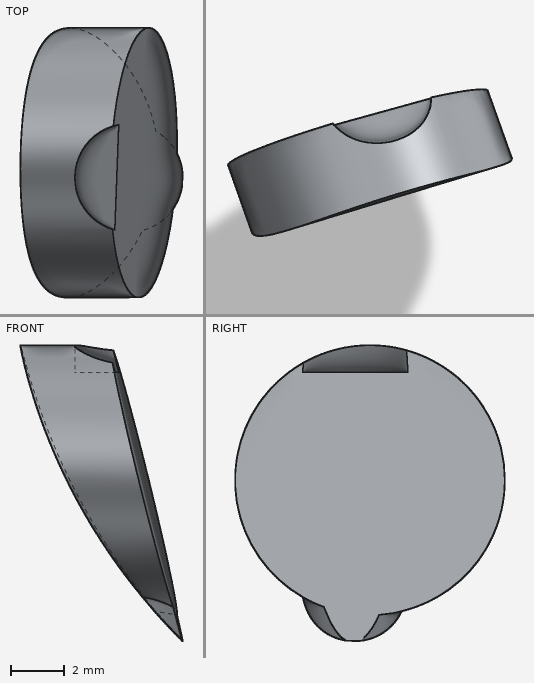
import cadquery as cq

disc_radius = 5.0
disc_center_y = 0.56

key_radius = 2.0
key_height = 1.0

convex_radius = 22.8
convex_axis_x = 18.2
convex_axis_z = 10.07
convex_yaw = 0.65

flat_x_at_origin = 0.53
flat_lean = 13.75
flat_yaw = 2.15

stock_half_length = 10.0
cutter_size = 60.0


def make_disc():
    """Round body along X, before its two faces are trimmed."""
    return (
        cq.Workplane("YZ", origin=(-stock_half_length, 0, 0))
        .center(disc_center_y, 0)
        .circle(disc_radius)
        .extrude(2 * stock_half_length)
    )


def key_cylinder(bottom_z, height):
    """Vertical cylinder on the Z axis, used for both the pin and the socket."""
    return cq.Workplane("XY", origin=(0, 0, bottom_z)).circle(key_radius).extrude(height)


def make_convex_envelope():
    """Large cylinder whose surface becomes the convex -X face."""
    return (
        cq.Workplane("XZ", origin=(convex_axis_x, cutter_size / 2, convex_axis_z))
        .circle(convex_radius)
        .extrude(cutter_size)
        .rotate((0, 0, 0), (0, 0, 1), -convex_yaw)
    )


def make_flat_envelope():
    """Block lying on the -X side of the leaning flat face."""
    return (
        cq.Workplane("XY")
        .box(cutter_size, cutter_size, cutter_size)
        .translate((-cutter_size / 2, 0, 0))
        .rotate((0, 0, 0), (0, 1, 0), -flat_lean)
        .rotate((0, 0, 0), (0, 0, 1), -flat_yaw)
        .translate((flat_x_at_origin, 0, 0))
    )


socket_floor_z = disc_radius - key_height
pin_bottom_z = -disc_radius - key_height

pin = key_cylinder(pin_bottom_z, disc_radius + key_height)
socket = key_cylinder(socket_floor_z, 2 * key_height)

body = make_disc().union(pin).cut(socket)
result = body.intersect(make_convex_envelope()).intersect(make_flat_envelope())